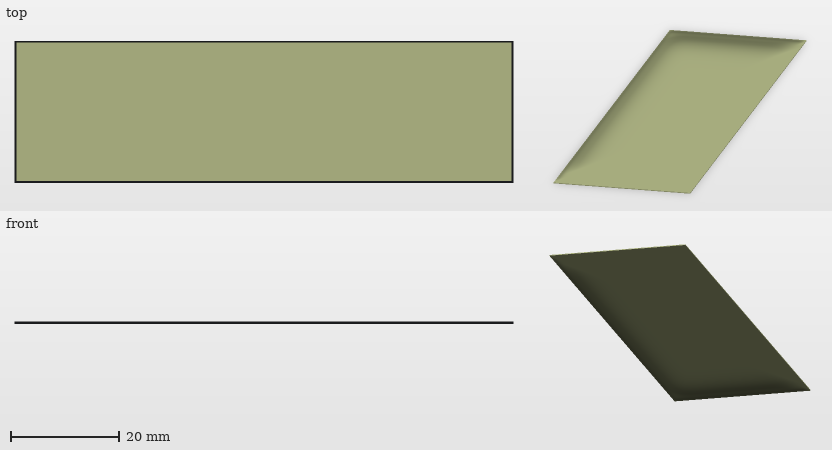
import cadquery as cq

length = 92.0
width = 26.0
thickness = 0.15

result = cq.Workplane("XY").box(length, width, thickness)